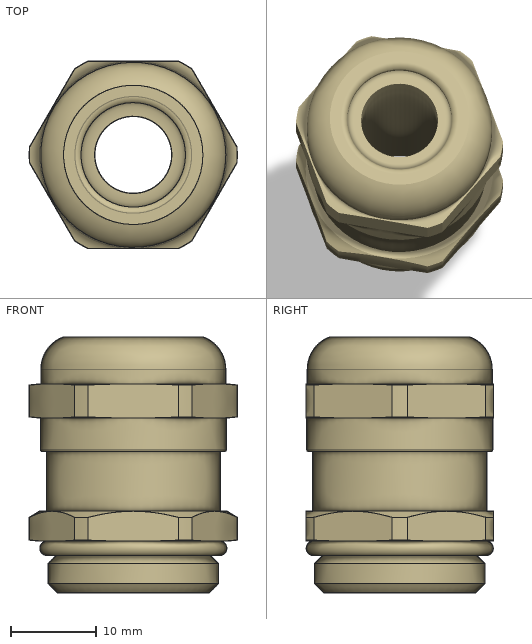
import cadquery as cq
import math

TOTAL_HEIGHT = 30.0
THREAD_CHAMFER_TOP = 1.1
THREAD_TOP = 3.42
SEAL_RING_BOTTOM = 4.38
LOWER_HEX_BOTTOM = 6.05
LOWER_HEX_TOP = 9.57
COLLAR_BOTTOM = 16.55
UPPER_HEX_BOTTOM = 20.5
UPPER_HEX_TOP = 24.48
DOME_BASE = 26.2

THREAD_DIAMETER = 20.0
THREAD_ROOT_DIAMETER = 17.8
SEAL_RING_DIAMETER = 21.93
BODY_DIAMETER = 20.4
COLLAR_DIAMETER = 21.8
CAP_DIAMETER = 21.7
DOME_TOP_DIAMETER = 16.32
MOUTH_DIAMETER = 12.25
BORE_DIAMETER = 9.0

COLLAR_EDGE_RADIUS = 0.25
MOUTH_EDGE_WIDTH = 0.72
MOUTH_EDGE_HEIGHT = 0.5
MOUTH_DEPTH = 1.0

ACROSS_FLATS = 22.0
CORNER_DIAMETER = 24.4
SLIGHT_CORNER_DROP = 0.12
LOWER_HEX_TOP_DROP = 0.72


def cylinder(diameter, bottom, top):
    return cq.Workplane("XY").workplane(offset=bottom).circle(diameter / 2).extrude(top - bottom)


def hexagon(bottom, top, corner_diameter, bottom_drop, top_drop):
    """Hexagon whose corners are trimmed by a cylinder with a cone at each end."""
    flat_radius = ACROSS_FLATS / 2
    corner_radius = corner_diameter / 2
    prism = (
        cq.Workplane("XY")
        .workplane(offset=bottom)
        .polygon(6, ACROSS_FLATS / math.cos(math.pi / 6))
        .extrude(top - bottom)
    )
    trim = (
        cq.Workplane("XZ")
        .moveTo(0, bottom)
        .lineTo(flat_radius, bottom)
        .lineTo(corner_radius, bottom + bottom_drop)
        .lineTo(corner_radius, top - top_drop)
        .lineTo(flat_radius, top)
        .lineTo(0, top)
        .close()
        .revolve(360, (0, 0, 0), (0, 1, 0))
    )
    return prism.intersect(trim)


def threaded_end():
    """Thread envelope with 45 degree cones down to the root diameter."""
    root_radius = THREAD_ROOT_DIAMETER / 2
    thread_radius = THREAD_DIAMETER / 2
    return (
        cq.Workplane("XZ")
        .lineTo(root_radius, 0)
        .lineTo(thread_radius, THREAD_CHAMFER_TOP)
        .lineTo(thread_radius, THREAD_TOP)
        .lineTo(root_radius, THREAD_TOP + thread_radius - root_radius)
        .lineTo(root_radius, LOWER_HEX_BOTTOM)
        .lineTo(0, LOWER_HEX_BOTTOM)
        .close()
        .revolve(360, (0, 0, 0), (0, 1, 0))
    )


def seal_ring():
    """Ring with a fully rounded outer side."""
    outer_radius = SEAL_RING_DIAMETER / 2
    half_height = (LOWER_HEX_BOTTOM - SEAL_RING_BOTTOM) / 2
    straight_radius = outer_radius - half_height
    return (
        cq.Workplane("XZ")
        .moveTo(0, SEAL_RING_BOTTOM)
        .lineTo(straight_radius, SEAL_RING_BOTTOM)
        .threePointArc((outer_radius, SEAL_RING_BOTTOM + half_height), (straight_radius, LOWER_HEX_BOTTOM))
        .lineTo(0, LOWER_HEX_BOTTOM)
        .close()
        .revolve(360, (0, 0, 0), (0, 1, 0))
    )


def domed_cap():
    """Cap with an arc that leaves the side tangentially and stops at the flat top."""
    cap_radius = CAP_DIAMETER / 2
    top_radius = DOME_TOP_DIAMETER / 2
    dome_width = cap_radius - top_radius
    dome_height = TOTAL_HEIGHT - DOME_BASE
    arc_radius = (dome_width**2 + dome_height**2) / (2 * dome_width)
    half_sweep = math.asin(dome_height / arc_radius) / 2
    arc_middle = (
        cap_radius - arc_radius * (1 - math.cos(half_sweep)),
        DOME_BASE + arc_radius * math.sin(half_sweep),
    )
    return (
        cq.Workplane("XZ")
        .moveTo(0, UPPER_HEX_BOTTOM)
        .lineTo(cap_radius, UPPER_HEX_BOTTOM)
        .lineTo(cap_radius, DOME_BASE)
        .threePointArc(arc_middle, (top_radius, TOTAL_HEIGHT))
        .lineTo(0, TOTAL_HEIGHT)
        .close()
        .revolve(360, (0, 0, 0), (0, 1, 0))
    )


def cap_opening():
    """Recessed mouth whose rim arc leaves the flat top tangentially."""
    mouth_radius = MOUTH_DIAMETER / 2
    rim_radius = mouth_radius + MOUTH_EDGE_WIDTH
    floor = TOTAL_HEIGHT - MOUTH_DEPTH
    arc_radius = (MOUTH_EDGE_WIDTH**2 + MOUTH_EDGE_HEIGHT**2) / (2 * MOUTH_EDGE_HEIGHT)
    half_sweep = math.asin(MOUTH_EDGE_WIDTH / arc_radius) / 2
    arc_middle = (
        rim_radius - arc_radius * math.sin(half_sweep),
        TOTAL_HEIGHT - arc_radius * (1 - math.cos(half_sweep)),
    )
    return (
        cq.Workplane("XZ")
        .moveTo(0, floor)
        .lineTo(mouth_radius, floor)
        .lineTo(mouth_radius, TOTAL_HEIGHT - MOUTH_EDGE_HEIGHT)
        .threePointArc(arc_middle, (rim_radius, TOTAL_HEIGHT))
        .lineTo(0, TOTAL_HEIGHT)
        .close()
        .revolve(360, (0, 0, 0), (0, 1, 0))
    )


body = cylinder(BODY_DIAMETER, LOWER_HEX_BOTTOM, UPPER_HEX_BOTTOM)
collar = cylinder(COLLAR_DIAMETER, COLLAR_BOTTOM, UPPER_HEX_BOTTOM)
collar = collar.faces("<Z").edges().fillet(COLLAR_EDGE_RADIUS)
lower_hex = hexagon(
    LOWER_HEX_BOTTOM, LOWER_HEX_TOP, CORNER_DIAMETER, SLIGHT_CORNER_DROP, LOWER_HEX_TOP_DROP
)
upper_hex = hexagon(
    UPPER_HEX_BOTTOM, UPPER_HEX_TOP, CORNER_DIAMETER, SLIGHT_CORNER_DROP, SLIGHT_CORNER_DROP
)

result = threaded_end()
for section in (seal_ring(), lower_hex, body, collar, upper_hex, domed_cap()):
    result = result.union(section)

result = result.cut(cap_opening())
result = result.cut(cylinder(BORE_DIAMETER, 0, TOTAL_HEIGHT))